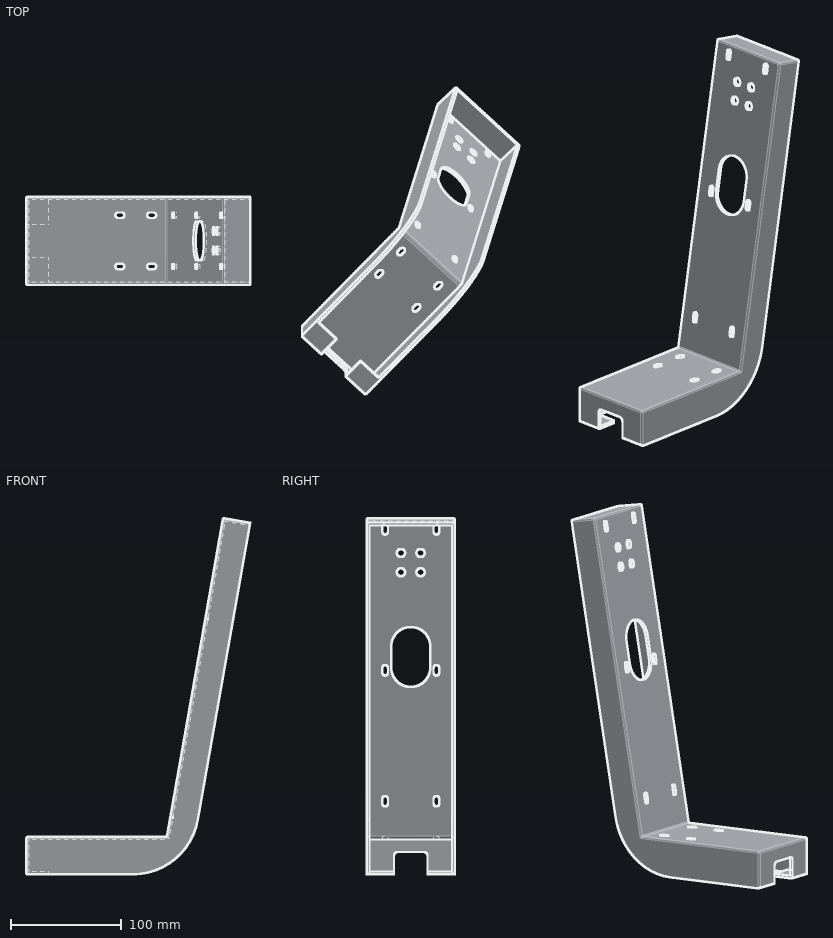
import cadquery as cq
import math

total_length = 202.5
width = 80.0
total_height = 322.0
base_height = 34.0
arm_depth = 25.0
lean = math.radians(10)
sheet = 2.5
edge_radius = 1.5
bend_radius = 1.3
heel_radius = 60.0
tab_length = 20.0

slot_width = 4.8
base_slot_length = 8.0
arm_slot_length = 9.7
slot_spacing = 46.5
base_slot_positions = (84.7, 113.5)
arm_slot_positions = (33.0, 153.0, 282.5)
hole_diameter = 7.5
hole_spacing = 17.7
hole_pattern_position = 252.0
window_width = 35.0
window_length = 55.0
window_position = 165.2
notch_width = 30.0
notch_height = 20.3
notch_radius = 3.2
cut_depth = 2 * sheet

along = (math.sin(lean), math.cos(lean))
inward = (math.cos(lean), -math.sin(lean))

rounding_loss = edge_radius * (math.sin(lean) + math.cos(lean) - 1)
arm_length = (total_height + rounding_loss - base_height) / along[1]
corner_x = total_length - arm_depth * inward[0] - arm_length * along[0]


def arm_point(distance, depth):
    """XZ point at a distance up the arm and a depth behind its front plate."""
    x = corner_x + distance * along[0] + depth * inward[0]
    z = base_height + distance * along[1] + depth * inward[1]
    return (x, z)


def distance_at_height(z, depth):
    """Distance up the arm at which the line at this depth has height z."""
    return (z - base_height - depth * inward[1]) / along[1]


def crosswise_edge(distance, depth):
    """Selector for the edge along Y through this point of the arm."""
    x, z = arm_point(distance, depth)
    return cq.selectors.NearestToPointSelector((x, 0, z))


def bent_block(inset):
    """Sharp-cornered solid L whose end, top and side faces are moved in by the inset."""
    block_width = width - 2 * inset
    top = base_height - inset
    return (
        cq.Workplane("XZ", origin=(0, block_width / 2, 0))
        .moveTo(inset, 0)
        .lineTo(*arm_point(distance_at_height(0, arm_depth), arm_depth))
        .lineTo(*arm_point(arm_length - inset, arm_depth))
        .lineTo(*arm_point(arm_length - inset, inset))
        .lineTo(*arm_point(distance_at_height(top, inset), inset))
        .lineTo(inset, top)
        .close()
        .extrude(block_width)
    )


def is_folded(edge):
    """True for outside edges to round: all but the concave bend, the open underside and the open back."""
    centre = edge.Center()
    depth = (centre.x - corner_x) * inward[0] + (centre.z - base_height) * inward[1]
    is_bend = math.hypot(centre.x - corner_x, centre.z - base_height) < sheet
    is_end_foot = centre.x < sheet and centre.z < sheet
    on_open_side = centre.z < sheet or depth > arm_depth - sheet
    return is_end_foot or not (is_bend or on_open_side)


def outer_body():
    """Solid L with its folds, inner bend and heel rounded."""
    heel = crosswise_edge(distance_at_height(0, arm_depth), arm_depth)
    bend = crosswise_edge(0, 0)
    rounded = bent_block(0).edges().filter(is_folded).fillet(edge_radius)
    return rounded.edges(bend).fillet(bend_radius).edges(heel).fillet(heel_radius)


def cavity():
    """Inside of the channel, open through the underside and the back but floored by the end tabs."""
    inner_corner = crosswise_edge(distance_at_height(base_height - sheet, sheet), sheet)
    hollow = bent_block(sheet).edges(inner_corner).fillet(bend_radius + sheet)
    tabs = cq.Workplane("XY").box(tab_length, width, sheet, centered=(False, True, False))
    return hollow.cut(tabs)


def cross_slots(plane, positions, slot_length):
    """Pairs of slots along a plate, as cutters through the sheet."""
    points = [(p, side * slot_spacing / 2) for p in positions for side in (-1, 1)]
    return (
        cq.Workplane(plane)
        .pushPoints(points)
        .slot2D(slot_length, slot_width)
        .extrude(-cut_depth)
    )


def arm_holes():
    return (
        cq.Workplane(arm_plane)
        .center(hole_pattern_position, 0)
        .rect(hole_spacing, hole_spacing, forConstruction=True)
        .vertices()
        .circle(hole_diameter / 2)
        .extrude(-cut_depth)
    )


def arm_window():
    return (
        cq.Workplane(arm_plane)
        .center(window_position, 0)
        .slot2D(window_length, window_width)
        .extrude(-cut_depth)
    )


def end_notch():
    """Opening through the end wall and between the tabs, rounded at its two upper corners."""
    opening = (
        cq.Workplane("XY")
        .box(sheet, notch_width, notch_height, centered=(False, True, False))
        .edges("|X and >Z")
        .fillet(notch_radius)
    )
    tab_gap = cq.Workplane("XY").box(tab_length, notch_width, sheet, centered=(False, True, False))
    return opening.union(tab_gap)


base_plane = cq.Plane(origin=(0, 0, base_height), xDir=(1, 0, 0), normal=(0, 0, 1))
arm_plane = cq.Plane(
    origin=(corner_x, 0, base_height),
    xDir=(along[0], 0, along[1]),
    normal=(-inward[0], 0, -inward[1]),
)

result = (
    outer_body()
    .cut(cavity())
    .cut(cross_slots(base_plane, base_slot_positions, base_slot_length))
    .cut(cross_slots(arm_plane, arm_slot_positions, arm_slot_length))
    .cut(arm_holes())
    .cut(arm_window())
    .cut(end_notch())
)